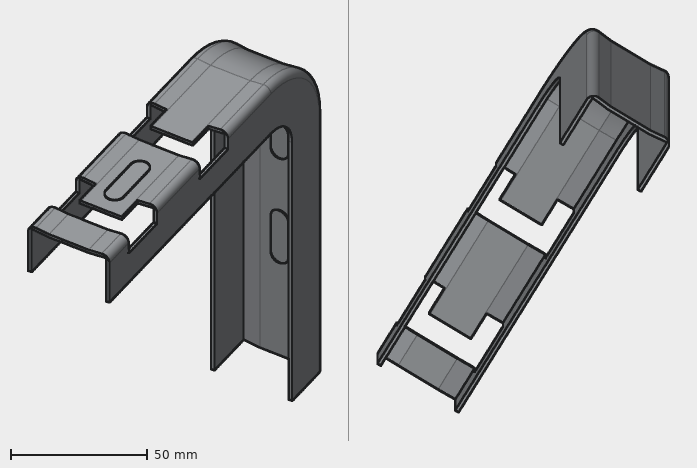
import cadquery as cq
import math

width = 35.0
length = 150.7
height = 160.6
wall_depth = 22.0
sheet = 1.5
bend_radius = 37.0

edge_radius = 3.0
dish_angle = math.radians(6)
flat_width = 17.0

pitch = 50.0
end_bridge = 13.7
window_length = 19.9
window_depth = 8.0
tongue_length = 11.1
tongue_width = 18.2

pad_length = 25.0
pad_width = 7.5
pad_rise = 0.3
top_pad_from_end = 41.1
lower_pad_height = 57.0

half_width = width / 2
half_flat = flat_width / 2
edge_center_x = half_width - edge_radius
slope_start_x = edge_center_x - edge_radius * math.sin(dish_angle)
slope_start_depth = edge_radius * (1 - math.cos(dish_angle))
dish_depth = slope_start_depth + (slope_start_x - half_flat) * math.tan(dish_angle)

path = (
    cq.Workplane("YZ")
    .lineTo(0, height - bend_radius)
    .radiusArc((-bend_radius, height), -bend_radius)
    .lineTo(-length, height)
)


def edge_point(radius, angle):
    """Point on a rounded edge; the angle is measured from the outward X direction."""
    return (edge_center_x + radius * math.cos(angle), -edge_radius + radius * math.sin(angle))


def swept_channel():
    """Half of the sheet section swept around the bend, then mirrored."""
    slope_angle = math.pi / 2 + dish_angle
    inner_corner_x = half_flat + sheet * math.tan(dish_angle / 2)
    inner_side_x = half_width - sheet
    inner_rise = (inner_side_x - inner_corner_x) * math.tan(dish_angle)
    section = (
        cq.Workplane("XY")
        .moveTo(half_width, -wall_depth)
        .lineTo(half_width, -edge_radius)
        .threePointArc(edge_point(edge_radius, slope_angle / 2), edge_point(edge_radius, slope_angle))
        .lineTo(half_flat, -dish_depth)
        .lineTo(0, -dish_depth)
        .lineTo(0, -dish_depth - sheet)
        .lineTo(inner_corner_x, -dish_depth - sheet)
        .lineTo(inner_side_x, -dish_depth - sheet + inner_rise)
        .lineTo(inner_side_x, -wall_depth)
        .close()
    )
    half = section.sweep(path)
    return half.union(half.mirror("YZ")).clean()


def window_cutter(front_y):
    """Window across the channel, leaving a tongue that points to the free end."""
    opening = cq.Workplane("XY").box(width, window_length, window_depth, centered=(True, False, False))
    tongue_depth = dish_depth + sheet
    tongue = (
        cq.Workplane("XY")
        .box(tongue_width, tongue_length, tongue_depth, centered=(True, False, False))
        .translate((0, window_length - tongue_length, window_depth - tongue_depth))
    )
    return opening.cut(tongue).translate((0, front_y, height - window_depth))


def slot_pad(base_center, outward):
    """Thin slot-shaped pad, sunk half a sheet into the web to join it."""
    plane = cq.Plane(base_center, xDir=(1, 0, 0), normal=outward)
    return (
        cq.Workplane(plane)
        .workplane(offset=-sheet / 2)
        .slot2D(pad_length, pad_width, 90)
        .extrude(sheet / 2 + pad_rise)
    )


channel = swept_channel()

for index in range(2):
    channel = channel.cut(window_cutter(-length + end_bridge + index * pitch))

top_pad_center = (0, -length + top_pad_from_end, height - dish_depth)
channel = channel.union(slot_pad(top_pad_center, (0, 0, 1)))

for index in range(2):
    pad_center = (0, -dish_depth - sheet, lower_pad_height + index * pitch)
    channel = channel.union(slot_pad(pad_center, (0, -1, 0)))

result = channel